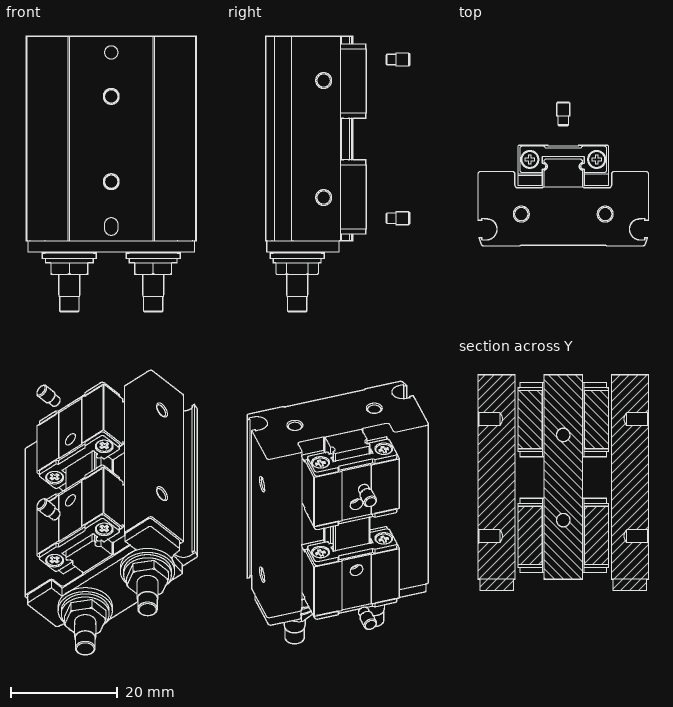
import cadquery as cq
import math


HOUSING_LENGTH = 38.35
HOUSING_WIDTH = 32.0
HALF_WIDTH = HOUSING_WIDTH / 2
HOUSING_DEPTH = 14.0
CORNER_RADIUS = 0.5
FRONT_RECESS_HALF_WIDTH = 7.85
FRONT_RECESS_DEPTH = 0.2
FRONT_RECESS_SLOPE = 0.2
CHANNEL_HALF_WIDTH = 9.05
CHANNEL_FLOOR_Y = 10.95
RAIL_SEAT_Y = 11.1
RAIL_SEAT_HALF_WIDTH = 3.9

SLOT_DIAMETER = 4.0
SLOT_X = 14.4
SLOT_Y = 3.15
SLOT_LIP_X = 15.25
SLOT_UPPER_EDGE_Y = 4.8
LIP_TIP_X = 15.8
LIP_TIP_Y = 1.6
LIP_FOOT = (15.4, 0.4)
LIP_FRONT_X = 14.9

HOLE_DIAMETER = 2.5
HOLE_MOUTH_DIAMETER = 3.0
BLIND_HOLE_DEPTH = 4.15
DRILL_POINT_ANGLE = 118.0
DOWEL_HOLE_DEPTH = 2.6
END_HOLE_X = 7.85
END_HOLE_Y = 6.0
SIDE_HOLE_Y = 10.85
SIDE_HOLE_SPACING = 21.9
THROUGH_HOLE_SPACING = 16.0
DOWEL_HOLE_Z = 35.3
DOWEL_SLOT_Z = 2.7
DOWEL_SLOT_LENGTH = 3.3

RAIL_HALF_WIDTH = 3.6
RAIL_TOP_Y = 16.35
RAIL_CHAMFER = 0.3
RAIL_GROOVE_X = 3.7
RACE_Y = 14.95
RAIL_GROOVE_RADIUS = 0.7

CARRIAGE_SPACING = 21.7
CARRIAGE_MID_Z = 19.1
CARRIAGE_BODY_LENGTH = 12.0
CARRIAGE_HALF_WIDTH = 8.5
CARRIAGE_BOTTOM_Y = 13.5
CARRIAGE_TOP_Y = 18.9
CARRIAGE_CHAMFER = 0.15
FOOT_BOTTOM_Y = 11.3
FOOT_INSET = 0.5
FOOT_CHAMFER = 0.25
OPENING_HALF_WIDTH = 3.95
OPENING_TOP_Y = 16.75
RIDGE_X = 3.8
RIDGE_RADIUS = 0.55
BODY_RECESS_HALF_WIDTH = 2.9
BODY_RECESS_DEPTH = 0.15
CAP_THICKNESS = 1.0
CAP_HALF_WIDTH = 8.1
CAP_BOTTOM_Y = 13.75
CAP_TOP_Y = 18.75
CAP_NOTCH_DEPTH = 0.35
CAP_NOTCH_HALF_WIDTH = 3.65

SCREW_X = 6.25
SCREW_Y = 16.25
SCREW_DIAMETER = 3.0
SCREW_RIM_DIAMETER = 3.35
CROSS_LENGTH = 1.75
CROSS_WIDTH = 0.5
CROSS_DEPTH = 0.25

PLATE_THICKNESS = 2.1
PLATE_HALF_WIDTH = 15.6
PLATE_FRONT_Y = 0.15
PLATE_BACK_Y = 13.75
PLATE_CHANNEL_HALF_WIDTH = 9.3
PLATE_CHANNEL_FLOOR_Y = 10.75
NOTCH_DIAMETER = 4.4
NOTCH_X = 14.25
NOTCH_Y = 2.85
NOTCH_MOUTH_Y = 5.15
NOTCH_TANGENT_ANGLE = 9.0
NOTCH_FOOT = (11.7, 0.49)
NOTCH_FRONT_X = 11.25

FITTING_X = 7.85
FITTING_Y = 5.9
FLANGES = [(9.0, 0.15), (10.2, 1.05), (9.0, 0.85)]
NUT_DIAMETER = 8.0
NUT_HEIGHT = 2.15
NUT_CHAMFER = 0.2
STEM_DIAMETER = 4.0
STEM_LENGTH = 3.7
STEM_END_DIAMETER = 3.8
STEM_TAPER = 0.4
TUBE_DIAMETER = 3.65
TUBE_CHAMFER = 0.2
TOTAL_LENGTH = 51.7

PIN_DIAMETER = 2.5
PIN_NECK_DIAMETER = 2.0
PIN_BACK_Y = 27.0
PIN_LENGTH = 4.45
PIN_HEAD_LENGTH = 2.6
PIN_CHAMFER = 0.2
PIN_Z = (4.25, 33.95)

THROUGH_HOLE_Z = [CARRIAGE_MID_Z + side * THROUGH_HOLE_SPACING / 2 for side in (-1, 1)]


def box(x_min, x_max, y_min, y_max, z_min, z_max):
    """A box between the given limits."""
    size = (x_max - x_min, y_max - y_min, z_max - z_min)
    return cq.Workplane("XY").box(*size, centered=False).translate((x_min, y_min, z_min))


def cylinder(diameter, length, start, direction):
    """A round bar from a start point along a direction."""
    bar = cq.Solid.makeCylinder(diameter / 2, length, cq.Vector(*start), cq.Vector(*direction))
    return cq.Workplane(obj=bar)


def cone(start_diameter, end_diameter, length, start, direction):
    """A cone, pointed or cut off, from a start point along a direction."""
    solid = cq.Solid.makeCone(
        start_diameter / 2, end_diameter / 2, length, cq.Vector(*start), cq.Vector(*direction)
    )
    return cq.Workplane(obj=solid)


def hole_mouth(start, direction):
    """The conical chamfer at the mouth of a hole, running inwards from the start point."""
    depth = (HOLE_MOUTH_DIAMETER - HOLE_DIAMETER) / 2
    return cone(HOLE_MOUTH_DIAMETER, HOLE_DIAMETER, depth, start, direction)


def blind_hole(start, direction):
    """A drilled hole with a chamfered mouth and a conical bottom."""
    point_depth = HOLE_DIAMETER / 2 / math.tan(math.radians(DRILL_POINT_ANGLE / 2))
    bottom = cq.Vector(*start) + cq.Vector(*direction) * BLIND_HOLE_DEPTH
    point = cone(HOLE_DIAMETER, 0, point_depth, bottom.toTuple(), direction)
    bore = cylinder(HOLE_DIAMETER, BLIND_HOLE_DEPTH, start, direction)
    return bore.union(point).union(hole_mouth(start, direction))


def mirrored_profile(half_outline, length, z_start):
    """Extrude a half outline that ends on X = 0, together with its mirror image."""
    half = half_outline.close().extrude(length)
    return half.union(half.mirror("YZ")).translate((0, 0, z_start))


def make_housing():
    r = CORNER_RADIUS
    slot_r = SLOT_DIAMETER / 2
    outline = (
        cq.Workplane("XY")
        .moveTo(0, FRONT_RECESS_DEPTH)
        .lineTo(FRONT_RECESS_HALF_WIDTH, FRONT_RECESS_DEPTH)
        .lineTo(FRONT_RECESS_HALF_WIDTH + FRONT_RECESS_SLOPE, 0)
        .lineTo(LIP_FRONT_X, 0)
        .tangentArcPoint(LIP_FOOT, relative=False)
        .lineTo(LIP_TIP_X, LIP_TIP_Y)
        .lineTo(SLOT_LIP_X, LIP_TIP_Y)
        .lineTo(SLOT_LIP_X, SLOT_Y - slot_r)
        .lineTo(SLOT_X, SLOT_Y - slot_r)
        .threePointArc((SLOT_X - slot_r, SLOT_Y), (SLOT_X, SLOT_Y + slot_r))
        .lineTo(SLOT_LIP_X, SLOT_Y + slot_r)
        .lineTo(SLOT_LIP_X, SLOT_UPPER_EDGE_Y)
        .lineTo(HALF_WIDTH, SLOT_UPPER_EDGE_Y)
        .lineTo(HALF_WIDTH, HOUSING_DEPTH - r)
        .radiusArc((HALF_WIDTH - r, HOUSING_DEPTH), -r)
        .lineTo(CHANNEL_HALF_WIDTH + r, HOUSING_DEPTH)
        .radiusArc((CHANNEL_HALF_WIDTH, HOUSING_DEPTH - r), -r)
        .lineTo(CHANNEL_HALF_WIDTH, CHANNEL_FLOOR_Y + r)
        .radiusArc((CHANNEL_HALF_WIDTH - r, CHANNEL_FLOOR_Y), r)
        .lineTo(RAIL_SEAT_HALF_WIDTH, CHANNEL_FLOOR_Y)
        .lineTo(RAIL_SEAT_HALF_WIDTH, RAIL_SEAT_Y)
        .lineTo(0, RAIL_SEAT_Y)
    )
    housing = mirrored_profile(outline, HOUSING_LENGTH, 0)

    for side in (-1, 1):
        housing = housing.cut(blind_hole((side * END_HOLE_X, END_HOLE_Y, HOUSING_LENGTH), (0, 0, -1)))
        for end in (-1, 1):
            z = CARRIAGE_MID_Z + end * SIDE_HOLE_SPACING / 2
            housing = housing.cut(blind_hole((side * HALF_WIDTH, SIDE_HOLE_Y, z), (-side, 0, 0)))

    for z in THROUGH_HOLE_Z:
        start = (0, FRONT_RECESS_DEPTH, z)
        housing = housing.cut(cylinder(HOLE_DIAMETER, HOUSING_DEPTH, start, (0, 1, 0)))
        housing = housing.cut(hole_mouth(start, (0, 1, 0)))

    dowel_start = (0, FRONT_RECESS_DEPTH, DOWEL_HOLE_Z)
    housing = housing.cut(cylinder(PIN_DIAMETER, DOWEL_HOLE_DEPTH, dowel_start, (0, 1, 0)))
    dowel_slot = (
        cq.Workplane("XZ", origin=(0, FRONT_RECESS_DEPTH, DOWEL_SLOT_Z))
        .slot2D(DOWEL_SLOT_LENGTH, PIN_DIAMETER, 90)
        .extrude(-DOWEL_HOLE_DEPTH)
    )
    return housing.cut(dowel_slot)


def make_rail():
    rail = box(-RAIL_HALF_WIDTH, RAIL_HALF_WIDTH, RAIL_SEAT_Y, RAIL_TOP_Y, 0, HOUSING_LENGTH)
    rail = rail.faces(">Y").edges("|Z").chamfer(RAIL_CHAMFER)
    for side in (-1, 1):
        groove_start = (side * RAIL_GROOVE_X, RACE_Y, 0)
        rail = rail.cut(cylinder(2 * RAIL_GROOVE_RADIUS, HOUSING_LENGTH, groove_start, (0, 0, 1)))
    for z in THROUGH_HOLE_Z:
        rail = rail.cut(cylinder(HOLE_DIAMETER, RAIL_TOP_Y, (0, 0, z), (0, 1, 0)))
    return rail


def make_end_cap():
    """One carriage end cap lying on Z = 0, with its outer face up."""
    cap = box(-CAP_HALF_WIDTH, CAP_HALF_WIDTH, CAP_BOTTOM_Y, CAP_TOP_Y, 0, CAP_THICKNESS)
    cap = cap.edges("|Z").fillet(CORNER_RADIUS)
    notch_floor_y = CAP_TOP_Y - CAP_NOTCH_DEPTH
    notch_floor_half_width = CAP_NOTCH_HALF_WIDTH - CAP_NOTCH_DEPTH
    notch = (
        cq.Workplane("XY")
        .polyline(
            [
                (-CAP_NOTCH_HALF_WIDTH, CAP_TOP_Y),
                (-notch_floor_half_width, notch_floor_y),
                (notch_floor_half_width, notch_floor_y),
                (CAP_NOTCH_HALF_WIDTH, CAP_TOP_Y),
            ]
        )
        .close()
        .extrude(CAP_THICKNESS)
    )
    cap = cap.cut(notch)

    rim_depth = (SCREW_RIM_DIAMETER - SCREW_DIAMETER) / 2
    cross_bottom_z = CAP_THICKNESS - rim_depth - CROSS_DEPTH
    cross_base = cq.Workplane("XY", origin=(0, 0, cross_bottom_z))
    cross_arm = cross_base.rect(CROSS_LENGTH, CROSS_WIDTH).extrude(CROSS_DEPTH)
    cross = cross_arm.union(cross_arm.rotate((0, 0, 0), (0, 0, 1), 90))
    rim = cone(SCREW_RIM_DIAMETER, SCREW_DIAMETER, rim_depth, (0, 0, CAP_THICKNESS), (0, 0, -1))
    for side in (-1, 1):
        place = (side * SCREW_X, SCREW_Y, 0)
        cap = cap.cut(rim.translate(place)).cut(cross.translate(place))
    return cap


def make_foot(side):
    """A carriage foot reaching down into the channel; the one on the -X side has bevelled upper ends."""
    half_foot = CARRIAGE_BODY_LENGTH / 2 - FOOT_INSET
    x_min, x_max = sorted((side * OPENING_HALF_WIDTH, side * CARRIAGE_HALF_WIDTH))
    foot = box(x_min, x_max, FOOT_BOTTOM_Y, CARRIAGE_BOTTOM_Y, -half_foot, half_foot)
    if side < 0:
        foot = foot.faces(">Y").edges("|X").chamfer(FOOT_CHAMFER)
    return foot


def make_carriage(end):
    """The carriage at the lower (end = -1) or upper (end = 1) part of the rail."""
    half_body = CARRIAGE_BODY_LENGTH / 2
    half_length = half_body + CAP_THICKNESS
    body = box(
        -CARRIAGE_HALF_WIDTH, CARRIAGE_HALF_WIDTH,
        CARRIAGE_BOTTOM_Y, CARRIAGE_TOP_Y, -half_body, half_body,
    )
    body = body.faces(">Y").edges("|Z").chamfer(CARRIAGE_CHAMFER)
    recess = box(
        -BODY_RECESS_HALF_WIDTH, BODY_RECESS_HALF_WIDTH,
        CARRIAGE_TOP_Y - BODY_RECESS_DEPTH, CARRIAGE_TOP_Y, -half_body, half_body,
    )
    body = body.cut(recess)

    cap = make_end_cap().translate((0, 0, half_body))
    carriage = body.union(cap).union(cap.mirror("XY"))

    opening = box(-OPENING_HALF_WIDTH, OPENING_HALF_WIDTH, 0, OPENING_TOP_Y, -half_length, half_length)
    carriage = carriage.cut(opening)
    for side in (-1, 1):
        carriage = carriage.union(make_foot(side))
        ridge_start = (side * RIDGE_X, RACE_Y, -half_length)
        carriage = carriage.union(cylinder(2 * RIDGE_RADIUS, 2 * half_length, ridge_start, (0, 0, 1)))

    carriage = carriage.translate((0, 0, CARRIAGE_MID_Z + end * CARRIAGE_SPACING / 2))
    hole_z = CARRIAGE_MID_Z + end * THROUGH_HOLE_SPACING / 2
    return carriage.cut(cylinder(HOLE_DIAMETER, CARRIAGE_TOP_Y, (0, 0, hole_z), (0, 1, 0)))


def make_plate():
    r = CORNER_RADIUS
    notch_r = NOTCH_DIAMETER / 2
    tangent = math.radians(180 - NOTCH_TANGENT_ANGLE)
    arc_middle = (tangent + math.pi / 2) / 2

    def notch_point(angle):
        return (NOTCH_X + notch_r * math.cos(angle), NOTCH_Y + notch_r * math.sin(angle))

    outline = (
        cq.Workplane("XY")
        .moveTo(0, PLATE_FRONT_Y)
        .lineTo(NOTCH_FRONT_X, PLATE_FRONT_Y)
        .tangentArcPoint(NOTCH_FOOT, relative=False)
        .lineTo(*notch_point(tangent))
        .threePointArc(notch_point(arc_middle), notch_point(math.pi / 2))
        .lineTo(PLATE_HALF_WIDTH - r, NOTCH_MOUTH_Y)
        .radiusArc((PLATE_HALF_WIDTH, NOTCH_MOUTH_Y + r), -r)
        .lineTo(PLATE_HALF_WIDTH, PLATE_BACK_Y - r)
        .radiusArc((PLATE_HALF_WIDTH - r, PLATE_BACK_Y), -r)
        .lineTo(PLATE_CHANNEL_HALF_WIDTH, PLATE_BACK_Y)
        .lineTo(PLATE_CHANNEL_HALF_WIDTH, PLATE_CHANNEL_FLOOR_Y)
        .lineTo(0, PLATE_CHANNEL_FLOOR_Y)
    )
    return mirrored_profile(outline, PLATE_THICKNESS, -PLATE_THICKNESS)


def make_fitting():
    """One stepped fitting on the Z axis, hanging from the lower face of the end plate."""
    z = -PLATE_THICKNESS
    down = (0, 0, -1)
    fitting = cq.Workplane("XY")
    for diameter, thickness in FLANGES:
        fitting = fitting.add(cylinder(diameter, thickness, (0, 0, z), down))
        z -= thickness
    fitting = fitting.combine()

    nut_limit = cylinder(NUT_DIAMETER, NUT_HEIGHT, (0, 0, z), down).faces("<Z").chamfer(NUT_CHAMFER)
    nut = cq.Workplane("XY", origin=(0, 0, z)).polygon(6, NUT_DIAMETER).extrude(-NUT_HEIGHT)
    nut = nut.rotate((0, 0, 0), (0, 0, 1), 90).intersect(nut_limit)
    z -= NUT_HEIGHT

    tip_z = HOUSING_LENGTH - TOTAL_LENGTH
    stem_end_z = z - STEM_LENGTH
    taper_end_z = stem_end_z - STEM_TAPER
    stem = (
        cq.Workplane("XZ")
        .moveTo(0, z)
        .lineTo(STEM_DIAMETER / 2, z)
        .lineTo(STEM_DIAMETER / 2, stem_end_z)
        .lineTo(STEM_END_DIAMETER / 2, taper_end_z)
        .lineTo(TUBE_DIAMETER / 2, taper_end_z)
        .lineTo(TUBE_DIAMETER / 2, tip_z + TUBE_CHAMFER)
        .lineTo(TUBE_DIAMETER / 2 - TUBE_CHAMFER, tip_z)
        .lineTo(0, tip_z)
        .close()
        .revolve(360, (0, 0), (0, 1))
    )
    return fitting.union(nut).union(stem)


def make_end_unit():
    """The end plate in one piece with its two fittings."""
    end_unit = make_plate()
    for side in (-1, 1):
        end_unit = end_unit.union(make_fitting().translate((side * FITTING_X, FITTING_Y, 0)))
    return end_unit


def make_pin(z):
    """A stepped dowel pin along Y, with its thin end to the front."""
    head_start_y = PIN_BACK_Y - PIN_HEAD_LENGTH
    front_y = PIN_BACK_Y - PIN_LENGTH
    neck_length = PIN_LENGTH - PIN_HEAD_LENGTH
    head = cylinder(PIN_DIAMETER, PIN_HEAD_LENGTH, (0, head_start_y, z), (0, 1, 0))
    head = head.faces(">Y").chamfer(PIN_CHAMFER)
    neck = cylinder(PIN_NECK_DIAMETER, neck_length, (0, front_y, z), (0, 1, 0))
    neck = neck.faces("<Y").chamfer(PIN_CHAMFER)
    return head.union(neck)


housing = make_housing()
rail = make_rail()
carriages = [make_carriage(end) for end in (-1, 1)]
end_unit = make_end_unit()
pins = [make_pin(z) for z in PIN_Z]

result = cq.Compound.makeCompound(
    [
        housing.val(),
        rail.val(),
        *[carriage.val() for carriage in carriages],
        end_unit.val(),
        *[pin.val() for pin in pins],
    ]
)